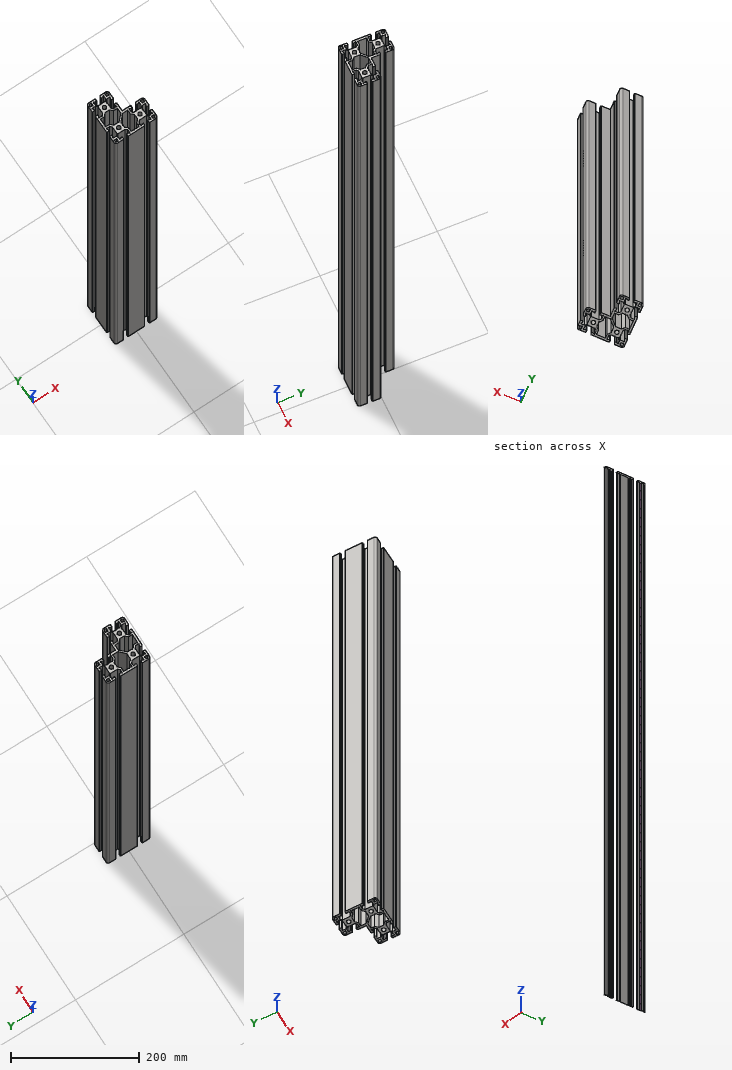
import cadquery as cq

length = 1000.0
cell = 40.0
side = 2 * cell
mid = cell / 2
corner_radius = 4.0

slot_opening_half = 4.0
slot_inner_half = 9.5
slot_floor_half = 6.5
slot_taper = slot_inner_half - slot_floor_half
core_half = 7.8
slot_depth = mid - core_half
lip_chamfer = 1.0
lip_thickness = 4.5
lip_flat_half = 6.0
lip_root_thickness = 3.0

bore_diameter = 6.8
corner_wall = 2.5
corner_hollow = 4.5
hollow_wall = 4.0
hollow_narrow_half = 7.5
hollow_neck = 11.0
hollow_wide_half = 4.2
web_half = 2.0

outer_corners = [
    (0, 0, 1, 1),
    (side, 0, -1, 1),
    (side, cell, -1, -1),
    (cell, side, -1, -1),
    (0, side, 1, -1),
]


def prism(points):
    return cq.Workplane("XY").polyline(points).close().extrude(length)


def mirrored(points):
    """Reflect points across the diagonal of the L."""
    return [(y, x) for x, y in points]


def l_outline():
    outline = [(0, 0), (side, 0), (side, cell), (cell, cell), (cell, side), (0, side)]
    body = prism(outline)
    for x, y, _, _ in outer_corners:
        edge = cq.selectors.NearestToPointSelector((x, y, length / 2))
        body = body.edges("|Z").edges(edge).fillet(corner_radius)
    return body


def slot_points(center, face, inward):
    """T-slot opening on the face y = face, cut in the direction inward (+1 or -1)."""
    half_outline = [
        (slot_opening_half + lip_chamfer, 0),
        (slot_opening_half, lip_chamfer),
        (slot_opening_half, lip_thickness),
        (lip_flat_half, lip_thickness),
        (slot_inner_half, lip_root_thickness),
        (slot_inner_half, slot_depth - slot_taper),
        (slot_floor_half, slot_depth),
    ]
    right = [(center + x, face + inward * depth) for x, depth in half_outline]
    left = [(center - x, face + inward * depth) for x, depth in reversed(half_outline)]
    return right + left


def corner_hollow_cutter(x, y, x_inward, y_inward):
    """Square hollow behind the rounded corner at (x, y), rounded concentrically with it."""
    center_x = x + x_inward * (corner_wall + corner_hollow / 2)
    center_y = y + y_inward * (corner_wall + corner_hollow / 2)
    outer_edge = cq.selectors.NearestToPointSelector((x, y, length / 2))
    hollow = cq.Workplane("XY").center(center_x, center_y).rect(corner_hollow, corner_hollow).extrude(length)
    return hollow.edges("|Z").edges(outer_edge).fillet(corner_radius - corner_wall)


def large_hollow_points():
    """Hollow between two cores, lying along the X-facing outer wall of the L."""
    bottom = mid + core_half
    top = cell + slot_depth
    narrow_bottom = cell - hollow_narrow_half
    narrow_top = cell + hollow_narrow_half
    left = hollow_wall
    right = cell - hollow_wall
    return [
        (left, narrow_bottom),
        (hollow_neck, narrow_bottom),
        (mid - hollow_wide_half, bottom),
        (bottom - web_half, bottom),
        (right, right + web_half),
        (right, narrow_top),
        (cell - hollow_neck, narrow_top),
        (mid + hollow_wide_half, top),
        (mid - hollow_wide_half, top),
        (hollow_neck, narrow_top),
        (left, narrow_top),
    ]


profile = l_outline()

cuts = [large_hollow_points()]
for center, face, inward in [(mid, 0, 1), (cell + mid, 0, 1), (mid, side, -1), (cell + mid, cell, -1)]:
    cuts.append(slot_points(center, face, inward))
for points in cuts:
    profile = profile.cut(prism(points))
    profile = profile.cut(prism(mirrored(points)))
for x, y, x_inward, y_inward in outer_corners:
    profile = profile.cut(corner_hollow_cutter(x, y, x_inward, y_inward))

bores = [(mid, mid), (cell + mid, mid), (mid, cell + mid)]
result = profile.cut(cq.Workplane("XY").pushPoints(bores).circle(bore_diameter / 2).extrude(length))